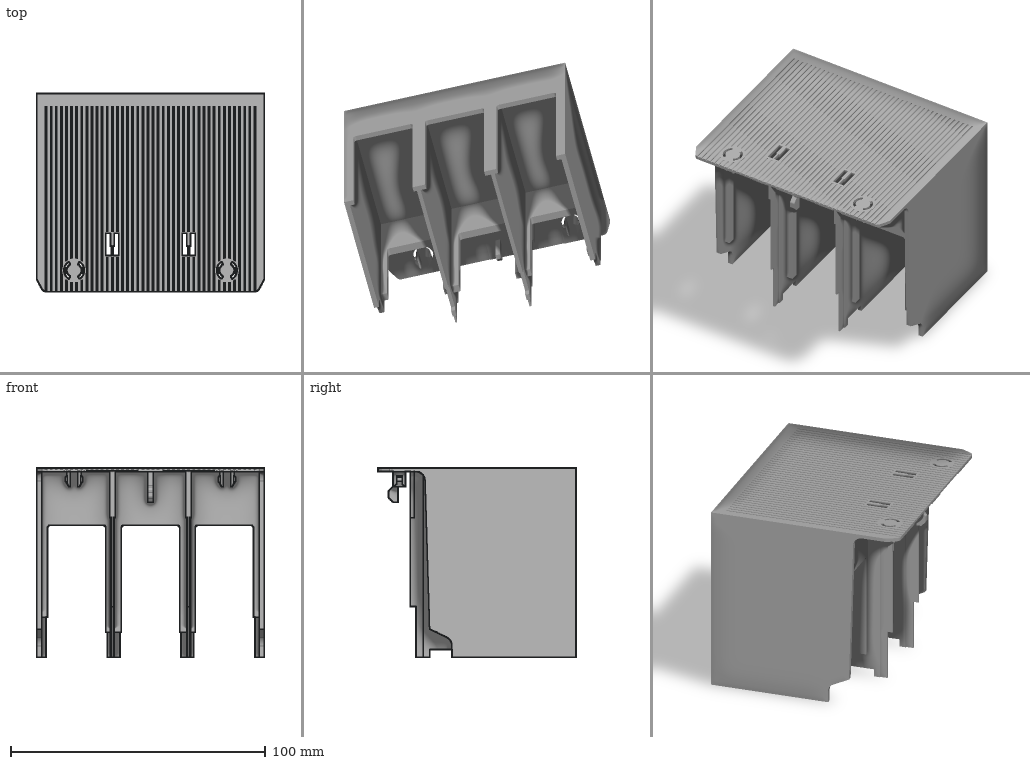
import cadquery as cq
import math


WIDTH = 89.6
PLATE_DEPTH = 78.0
HEIGHT = 74.5
PLATE_THICKNESS = 1.4
SIDE_THICKNESS = 2.0
POLE_PITCH = 30.0
HALF_WIDTH = WIDTH / 2
HALF_POLE = POLE_PITCH / 2

CORNER_WIDTH = 2.7
CORNER_DEPTH = 4.9
CORNER_RADIUS = 2.15

SIDE_TOP_DEPTH = 59.5
SIDE_LOW_DEPTH = 57.6
SIDE_LOW_DROP = 63.4
SIDE_TOP_RADIUS = 3.8
SIDE_LOW_RADIUS = 3.8
FOOT_DEPTH = 48.8
FOOT_SHOULDER_DROP = 67.6

DIVIDER_THICKNESS = 1.5
DIVIDER_EDGE_THICKNESS = 0.7
DIVIDER_STEP_DEPTH = 60.05
DIVIDER_UPPER_DEPTH = 65.2
DIVIDER_LOWER_DEPTH = 63.0
DIVIDER_STEP_DROP = 54.5
DIVIDER_NOTCH_START = 47.5
DIVIDER_NOTCH_END = 57.5
DIVIDER_NOTCH_DROP = 71.4
BLOCK_WIDTH = 2.15
BLOCK_DROP = 19.5

OPENING_PITCH = 29.0
OPENING_DROP = 22.6
OPENING_RADIUS = 1.1
FRONT_WALL_DEPTH = 55.0
FRONT_WALL_THICKNESS = 3.0
FRONT_OPENING_WIDTH = 22.85
FRONT_MIDDLE_LEG_DROP = 64.6
FRONT_OUTER_LEG_DROP = 58.7
BACK_WALL_THICKNESS = SIDE_THICKNESS
BACK_OPENING_WIDTH = 23.9

GROOVE_COUNT = 42
GROOVE_PITCH = POLE_PITCH / 15
GROOVE_WIDTH = 0.5
GROOVE_CUT = 0.4
GROOVE_START_DEPTH = 5.2

WINDOW_WIDTH = 5.0
WINDOW_END_DEPTH = 63.6
WINDOW_RIM = 0.9

SNAP_DEPTH = 69.55
SNAP_RADIUS = 2.9
SNAP_FLAT = 1.4
SNAP_DROP = 7.4
SNAP_TIP = 2.0
SNAP_SLOT_RADIUS = 3.9
SNAP_SLOT_HALF_ANGLE = 58
SNAP_RIM_RADIUS = 5.0
NOSE_REACH = 3.4
NOSE_WIDTH = 2.15
NOSE_ROOT_DROP = 3.05
NOSE_TOP_DROP = 3.7
NOSE_BOTTOM_DROP = 5.3

HOOK_WIDTH = 2.0
HOOK_BACK_DEPTH = 70.0
HOOK_STEM_DEPTH = 71.9
HOOK_NOSE_DEPTH = 73.85
HOOK_NOSE_TOP = 9.1
HOOK_NOSE_BOTTOM = 11.65
HOOK_DROP = 13.5
HOOK_RADIUS = 0.8

RELIEF_WIDTH = 20.1
RELIEF_CUT = 0.4


def box(x_center, width, depth_from, depth_to, drop_from, drop_to):
    """Block given by its X centre and width and its ranges of depth and drop."""
    size = (width, depth_to - depth_from, drop_to - drop_from)
    center = (x_center, -(depth_from + depth_to) / 2, -(drop_from + drop_to) / 2)
    return cq.Workplane("XY").box(*size).translate(center)


def side_profile(points, x_center, width):
    """Outline of (depth, drop) points, extruded along X about x_center."""
    outline = [(-depth, -drop) for depth, drop in points]
    start = x_center - width / 2
    return cq.Workplane("YZ", origin=(start, 0, 0)).polyline(outline).close().extrude(width)


def edge_at(depth, drop):
    """Selects the edge along X that passes through a (depth, drop) point."""
    return cq.selectors.BoxSelector(
        (-WIDTH, -depth - 0.1, -drop - 0.1), (WIDTH, -depth + 0.1, -drop + 0.1)
    )


def top_plate():
    straight_depth = PLATE_DEPTH - CORNER_DEPTH
    front_half = HALF_WIDTH - CORNER_WIDTH
    outline = [
        (-HALF_WIDTH, 0),
        (HALF_WIDTH, 0),
        (HALF_WIDTH, -straight_depth),
        (front_half, -PLATE_DEPTH),
        (-front_half, -PLATE_DEPTH),
        (-HALF_WIDTH, -straight_depth),
    ]
    plate = cq.Workplane("XY").polyline(outline).close().extrude(-PLATE_THICKNESS)
    front_corners = cq.selectors.BoxSelector(
        (-WIDTH, -WIDTH, -HEIGHT), (WIDTH, -straight_depth + 0.9, HEIGHT)
    )
    return plate.edges("|Z").edges(front_corners).fillet(CORNER_RADIUS)


def side_wall(side):
    web_end = SIDE_TOP_DEPTH + 2 * SIDE_TOP_RADIUS
    outline = [
        (0, 0),
        (web_end, 0),
        (web_end, PLATE_THICKNESS),
        (SIDE_TOP_DEPTH, PLATE_THICKNESS),
        (SIDE_LOW_DEPTH, SIDE_LOW_DROP),
        (FOOT_DEPTH, FOOT_SHOULDER_DROP),
        (FOOT_DEPTH, HEIGHT),
        (0, HEIGHT),
    ]
    wall = side_profile(outline, side * (HALF_WIDTH - SIDE_THICKNESS / 2), SIDE_THICKNESS)
    wall = wall.edges(edge_at(SIDE_TOP_DEPTH, PLATE_THICKNESS)).fillet(SIDE_TOP_RADIUS)
    return wall.edges(edge_at(FOOT_DEPTH, FOOT_SHOULDER_DROP)).fillet(SIDE_LOW_RADIUS)


def divider(x):
    thick = box(x, DIVIDER_THICKNESS, 0, DIVIDER_STEP_DEPTH, 0, HEIGHT)
    edge_upper = box(
        x, DIVIDER_EDGE_THICKNESS, DIVIDER_STEP_DEPTH, DIVIDER_UPPER_DEPTH, 0, DIVIDER_STEP_DROP
    )
    edge_lower = box(
        x, DIVIDER_EDGE_THICKNESS, DIVIDER_STEP_DEPTH, DIVIDER_LOWER_DEPTH, 0, HEIGHT
    )
    block = box(x, BLOCK_WIDTH, WINDOW_END_DEPTH, DIVIDER_UPPER_DEPTH, 0, BLOCK_DROP)
    notch = box(x, BLOCK_WIDTH, DIVIDER_NOTCH_START, DIVIDER_NOTCH_END, DIVIDER_NOTCH_DROP, HEIGHT)
    return thick.union(edge_upper).union(edge_lower).union(block).cut(notch)


def opening_wall(depth_from, depth_to, opening_width, drop):
    """Wall across the cover with a round-cornered opening for each pole."""
    wall = box(0, WIDTH - 2 * SIDE_THICKNESS, depth_from, depth_to, 0, drop)
    for pole in (-1, 0, 1):
        opening = box(pole * OPENING_PITCH, opening_width, depth_from, depth_to, OPENING_DROP, HEIGHT)
        wall = wall.cut(opening.edges("|Y and >Z").fillet(OPENING_RADIUS))
    return wall


def front_wall():
    depth_from = FRONT_WALL_DEPTH - FRONT_WALL_THICKNESS
    wall = opening_wall(depth_from, FRONT_WALL_DEPTH, FRONT_OPENING_WIDTH, FRONT_MIDDLE_LEG_DROP)
    for side in (-1, 1):
        below_outer_leg = box(
            side * HALF_WIDTH,
            FRONT_OPENING_WIDTH,
            depth_from,
            FRONT_WALL_DEPTH,
            FRONT_OUTER_LEG_DROP,
            HEIGHT,
        )
        wall = wall.cut(below_outer_leg)
    return wall


def snap_cylinder(x, radius, drop):
    return cq.Workplane("XY").center(x, -SNAP_DEPTH).circle(radius).extrude(-drop)


def snap_slots(x):
    """Two ring-shaped slots, left and right of the pin, with radial ends."""
    ring = snap_cylinder(x, SNAP_SLOT_RADIUS, PLATE_THICKNESS)
    ring = ring.cut(snap_cylinder(x, SNAP_RADIUS, PLATE_THICKNESS))
    reach = 2 * SNAP_SLOT_RADIUS
    rise = reach * math.tan(math.radians(SNAP_SLOT_HALF_ANGLE))
    sectors = cq.Workplane("XY")
    for side in (-1, 1):
        triangle = cq.Workplane("XY").center(x, -SNAP_DEPTH)
        triangle = triangle.polyline([(0, 0), (side * reach, rise), (side * reach, -rise)])
        sectors = sectors.add(triangle.close().extrude(-PLATE_THICKNESS))
    return ring.intersect(sectors.combine())


def snap_outline(x, half_outline, width):
    """Mirrored outline of (offset, drop) points, extruded along Y about the snap pin."""
    right = [(x + offset, -drop) for offset, drop in half_outline]
    left = [(x - offset, -drop) for offset, drop in reversed(half_outline)]
    plane = cq.Workplane("XZ", origin=(0, -SNAP_DEPTH + width / 2, 0))
    return plane.polyline(right + left).close().extrude(width)


def snap_pin(x):
    noses = snap_outline(
        x,
        [
            (SNAP_FLAT, NOSE_ROOT_DROP),
            (SNAP_RADIUS, NOSE_ROOT_DROP),
            (NOSE_REACH, NOSE_TOP_DROP),
            (NOSE_REACH, SNAP_DROP),
        ],
        NOSE_WIDTH,
    )
    tapered_tip = snap_outline(
        x,
        [(NOSE_REACH, 0), (NOSE_REACH, NOSE_BOTTOM_DROP), (SNAP_TIP, SNAP_DROP)],
        2 * SNAP_RADIUS,
    )
    pin = snap_cylinder(x, SNAP_RADIUS, SNAP_DROP).union(noses)
    gap = box(
        x, 2 * SNAP_FLAT, SNAP_DEPTH - SNAP_RADIUS, SNAP_DEPTH + SNAP_RADIUS, 0, SNAP_DROP
    )
    return pin.intersect(tapered_tip).cut(gap)


def hook():
    stem_corner_drop = HOOK_NOSE_TOP - (HOOK_NOSE_DEPTH - HOOK_STEM_DEPTH)
    tip_depth = HOOK_NOSE_DEPTH - (HOOK_DROP - HOOK_NOSE_BOTTOM)
    rounded_corners = [
        (HOOK_STEM_DEPTH, stem_corner_drop),
        (HOOK_NOSE_DEPTH, HOOK_NOSE_TOP),
        (HOOK_NOSE_DEPTH, HOOK_NOSE_BOTTOM),
    ]
    outline = [
        (HOOK_BACK_DEPTH, 0),
        (HOOK_STEM_DEPTH, 0),
        *rounded_corners,
        (tip_depth, HOOK_DROP),
        (HOOK_BACK_DEPTH, HOOK_DROP),
    ]
    body = side_profile(outline, 0, HOOK_WIDTH)
    for corner in rounded_corners:
        body = body.edges(edge_at(*corner)).fillet(HOOK_RADIUS)
    return body


def grooves():
    """All grooves, interrupted around the windows and the snap pins."""
    first = -(GROOVE_COUNT - 1) / 2 * GROOVE_PITCH
    cutter = cq.Workplane("XY")
    for index in range(GROOVE_COUNT):
        x = first + index * GROOVE_PITCH
        cutter = cutter.add(box(x, GROOVE_WIDTH, GROOVE_START_DEPTH, PLATE_DEPTH, 0, GROOVE_CUT))
    cutter = cutter.combine()
    for side in (-1, 1):
        window_rim = box(
            side * HALF_POLE,
            WINDOW_WIDTH + 2 * WINDOW_RIM,
            FRONT_WALL_DEPTH - WINDOW_RIM,
            WINDOW_END_DEPTH + WINDOW_RIM,
            0,
            GROOVE_CUT,
        )
        cutter = cutter.cut(window_rim)
        cutter = cutter.cut(snap_cylinder(side * POLE_PITCH, SNAP_RIM_RADIUS, GROOVE_CUT))
    return cutter


def plate_with_openings():
    """Top plate with its windows, snap slots and reliefs."""
    plate = top_plate()
    for side in (-1, 1):
        window = box(
            side * HALF_POLE, WINDOW_WIDTH, FRONT_WALL_DEPTH, WINDOW_END_DEPTH, 0, PLATE_THICKNESS
        )
        relief = box(
            side * HALF_POLE,
            RELIEF_WIDTH,
            DIVIDER_UPPER_DEPTH,
            PLATE_DEPTH,
            PLATE_THICKNESS - RELIEF_CUT,
            PLATE_THICKNESS,
        )
        plate = plate.cut(window).cut(relief).cut(snap_slots(side * POLE_PITCH))
    return plate


result = plate_with_openings().union(front_wall()).union(hook())
result = result.union(opening_wall(0, BACK_WALL_THICKNESS, BACK_OPENING_WIDTH, HEIGHT))
for side in (-1, 1):
    result = result.union(side_wall(side)).union(divider(side * HALF_POLE))
    result = result.union(snap_pin(side * POLE_PITCH))
result = result.cut(grooves())